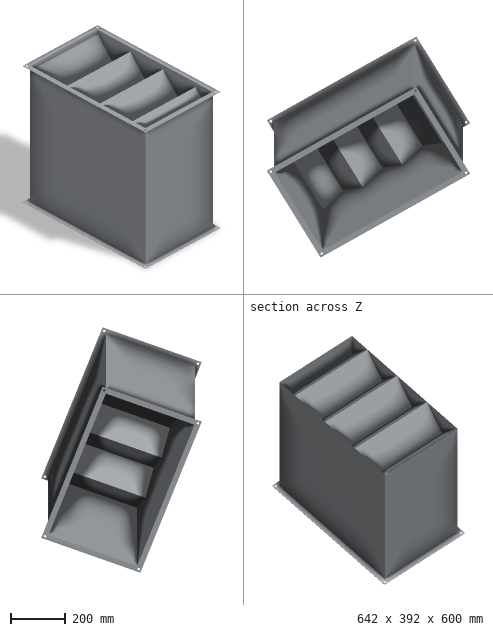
import cadquery as cq
import math

length = 642.0
width = 392.0
height = 600.0

sheet = 1.0
flange_overhang = 20.0
duct_length = length - 2 * flange_overhang
duct_width = width - 2 * flange_overhang
bore_length = duct_length - 2 * sheet
bore_width = duct_width - 2 * sheet

hole_diameter = 9.0
hole_inset = 11.0
hole_spacing_x = length - 2 * hole_inset
hole_spacing_y = width - 2 * hole_inset

fold_count = 7
fold_run = 85.2
fold_drop = 100.0
crest_height = 581.7
plate_depth = sheet * math.hypot(fold_run, fold_drop) / fold_run
plate_start = -fold_count * fold_run / 2


def make_flange(bottom):
    """Flat rectangular plate with a hole in each corner."""
    return (
        cq.Workplane("XY")
        .workplane(offset=bottom)
        .rect(length, width)
        .extrude(sheet)
        .faces(">Z")
        .workplane()
        .rect(hole_spacing_x, hole_spacing_y, forConstruction=True)
        .vertices()
        .hole(hole_diameter)
    )


def make_pleated_plate():
    """Zigzag sheet whose side edges lie flush with the outer duct walls."""
    upper_edge = []
    for fold in range(fold_count + 1):
        drop = fold_drop if fold % 2 else 0
        upper_edge.append((plate_start + fold * fold_run, crest_height - drop))
    lower_edge = [(x, z - plate_depth) for x, z in reversed(upper_edge)]
    return (
        cq.Workplane("XZ")
        .polyline(upper_edge + lower_edge)
        .close()
        .extrude(duct_width / 2, both=True)
    )


def make_housing(plate):
    """Open duct with two flanges, slotted where the pleated plate passes through its walls."""
    duct = cq.Workplane("XY").rect(duct_length, duct_width).extrude(height)
    bore = cq.Workplane("XY").rect(bore_length, bore_width).extrude(height)
    body = duct.union(make_flange(0)).union(make_flange(height - sheet))
    return body.cut(bore).cut(plate)


pleated_plate = make_pleated_plate()
housing = make_housing(pleated_plate)

result = cq.Compound.makeCompound([housing.val(), pleated_plate.val()])